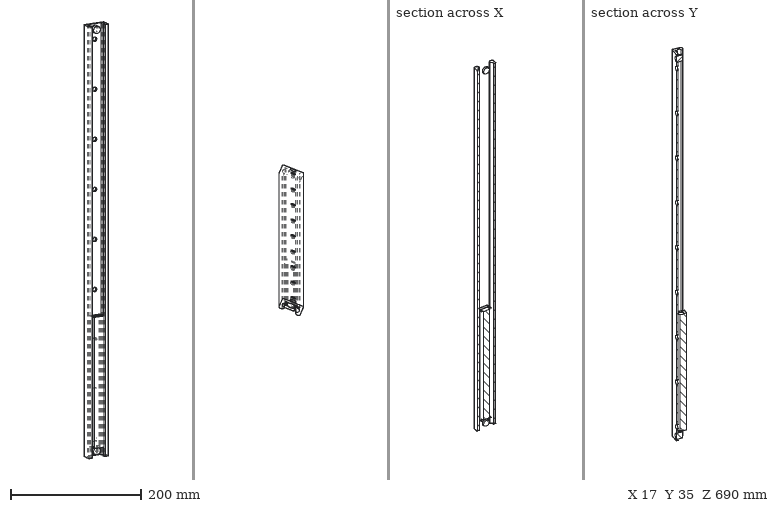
import cadquery as cq

LENGTH = 690.0
TOTAL_DEPTH = 17.0
BACK_X = -TOTAL_DEPTH / 2
FRONT_X = TOTAL_DEPTH / 2
BOTTOM_Z = -LENGTH / 2

RAIL_WIDTH = 35.0
RAIL_DEPTH = 16.5
BASE_THICKNESS = 3.5
BACK_EDGE_RADIUS = 1.5
FRONT_EDGE_RADIUS = 2.0
RIDGE_Y = 10.0
BASE_CORNER_Y = 12.5
MOUTH_CHAMFER = 2.0
RACEWAY_X = 1.0
RACEWAY_WIDTH = 6.0
RACEWAY_DEPTH = 4.0

HOLE_DIAMETER = 7.0
HOLE_COUNT = 9
HOLE_PITCH = 80.0

PIN_SHANK_DIAMETER = 10.0
PIN_HEAD_DIAMETER = 12.0
PIN_HEAD_LENGTH = 7.0
PIN_END_OFFSET = 8.0

SLIDER_LENGTH = 210.0
SLIDER_END_OFFSET = 15.0
PLATE_WIDTH = 16.5
PLATE_THICKNESS = 4.0
BLOCK_WIDTH = 12.5
BLOCK_BACK_GAP = 2.0
BLOCK_SETBACK = 1.0

CAGE_WIDTH = 18.5
CAGE_THICKNESS = 1.0
CAGE_BACK_GAP = 1.0
CAGE_FRONT_GAP = 1.0

base_front_x = BACK_X + BASE_THICKNESS
rail_front_x = BACK_X + RAIL_DEPTH
plate_back_x = FRONT_X - PLATE_THICKNESS
slider_bottom_z = BOTTOM_Z + SLIDER_END_OFFSET
pin_z = LENGTH / 2 - PIN_END_OFFSET


def box_between(x_min, x_max, width, z_min, height):
    """Box between two X planes, centred on Y = 0 and standing on z_min."""
    box = cq.Workplane("XY").box(x_max - x_min, width, height, centered=(False, True, False))
    return box.translate((x_min, 0, z_min))


def cross_cylinder(diameter, x_min, x_max, z):
    """Cylinder along X between two X planes, at height z."""
    return cq.Workplane("YZ", origin=(x_min, 0, z)).circle(diameter / 2).extrude(x_max - x_min)


def channel_space():
    """Space inside the rail, from the base to the open front; its halves mirror about Y = 0."""
    half_space = (
        cq.Workplane("XY", origin=(0, 0, BOTTOM_Z))
        .moveTo(base_front_x, 0)
        .lineTo(base_front_x, BASE_CORNER_Y)
        .lineTo(RACEWAY_X - RACEWAY_WIDTH / 2, RIDGE_Y)
        .threePointArc(
            (RACEWAY_X, RIDGE_Y + RACEWAY_DEPTH),
            (RACEWAY_X + RACEWAY_WIDTH / 2, RIDGE_Y),
        )
        .lineTo(rail_front_x - MOUTH_CHAMFER, RIDGE_Y)
        .lineTo(rail_front_x, RIDGE_Y + MOUTH_CHAMFER)
        .lineTo(rail_front_x, 0)
        .close()
        .extrude(LENGTH)
    )
    return half_space.union(half_space.mirror("XZ"))


def make_rail():
    rail = box_between(BACK_X, rail_front_x, RAIL_WIDTH, BOTTOM_Z, LENGTH)
    rail = rail.edges("|Z and <X").fillet(BACK_EDGE_RADIUS)
    rail = rail.edges("|Z and >X").fillet(FRONT_EDGE_RADIUS)
    rail = rail.cut(channel_space())
    for number in range(HOLE_COUNT):
        hole_z = (number - (HOLE_COUNT - 1) / 2) * HOLE_PITCH
        rail = rail.cut(cross_cylinder(HOLE_DIAMETER, BACK_X, base_front_x, hole_z))
    for z in (-pin_z, pin_z):
        rail = rail.cut(cross_cylinder(PIN_SHANK_DIAMETER, BACK_X, base_front_x, z))
    return rail


def make_stop_pin(z):
    shank = cross_cylinder(PIN_SHANK_DIAMETER, BACK_X, base_front_x, z)
    head = cross_cylinder(PIN_HEAD_DIAMETER, base_front_x, base_front_x + PIN_HEAD_LENGTH, z)
    return shank.union(head)


def make_slider():
    plate = box_between(plate_back_x, FRONT_X, PLATE_WIDTH, slider_bottom_z, SLIDER_LENGTH)
    block_back_x = base_front_x + BLOCK_BACK_GAP
    block_bottom_z = slider_bottom_z + BLOCK_SETBACK
    block_length = SLIDER_LENGTH - 2 * BLOCK_SETBACK
    block = box_between(block_back_x, plate_back_x, BLOCK_WIDTH, block_bottom_z, block_length)
    return plate.union(block)


def make_cage():
    web_back_x = base_front_x + CAGE_BACK_GAP
    web_front_x = web_back_x + CAGE_THICKNESS
    arm_front_x = plate_back_x - CAGE_FRONT_GAP
    inner_width = CAGE_WIDTH - 2 * CAGE_THICKNESS
    cage = box_between(web_back_x, arm_front_x, CAGE_WIDTH, slider_bottom_z, SLIDER_LENGTH)
    inside = box_between(web_front_x, arm_front_x, inner_width, slider_bottom_z, SLIDER_LENGTH)
    return cage.cut(inside)


rail = make_rail()
stop_pins = [make_stop_pin(z) for z in (-pin_z, pin_z)]
slider = make_slider()
cage = make_cage()

result = cq.Compound.makeCompound(
    [rail.val(), *[pin.val() for pin in stop_pins], slider.val(), cage.val()]
)